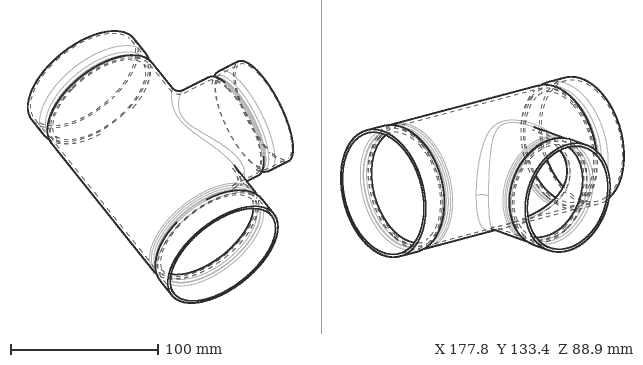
import cadquery as cq
import math

run_length = 177.8
branch_reach = 88.9
run_end_diameter = 88.9
run_body_diameter = 87.78
run_groove_diameter = 82.12
branch_end_diameter = 76.2
branch_body_diameter = 75.08
branch_groove_diameter = 70.36
wall = 2.03
crotch_radius = 6.0

groove_floor_start = 20.4
groove_floor_end = 21.1
shoulder_radius = 4.4
root_radius = 2.1
body_bend_radius = 1.4
body_slope = math.radians(60)

rib_front = 16.9
rib_back = 23.6
rib_front_bend = 1.4
rib_back_bend = 1.0

up = math.pi / 2


def polar(center, radius, angle):
    return (center[0] + radius * math.cos(angle), center[1] + radius * math.sin(angle))


def add_arc(outline, center, radius, start_angle, end_angle):
    """Carry the outline on along an arc; it must already stand at the start of the arc."""
    middle_angle = (start_angle + end_angle) / 2
    return outline.threePointArc(
        polar(center, radius, middle_angle), polar(center, radius, end_angle)
    )


def line_and_arc(outline, center, radius, start_angle, end_angle):
    """Carry the outline straight to the start of an arc, then along the arc."""
    outline = outline.lineTo(*polar(center, radius, start_angle))
    return add_arc(outline, center, radius, start_angle, end_angle)


def finish_rod(outline, body_radius, length):
    """Close the outline along the axis and revolve it about X."""
    outline = outline.lineTo(length, body_radius).lineTo(length, 0).close()
    return outline.revolve(360, (0, 0, 0), (1, 0, 0))


def outside_rod(end_diameter, body_diameter, groove_diameter, length):
    """Solid within the outer skin, along +X from a pipe end at the origin."""
    end_radius = end_diameter / 2
    body_radius = body_diameter / 2
    floor_radius = groove_diameter / 2

    bend_sum = shoulder_radius + root_radius
    turn = math.acos(1 - (end_radius - floor_radius) / bend_sum)
    shoulder_center = (
        groove_floor_start - bend_sum * math.sin(turn),
        end_radius - shoulder_radius,
    )
    root_center = (groove_floor_start, floor_radius + root_radius)

    straight_rise = body_radius - floor_radius - 2 * body_bend_radius * (1 - math.cos(body_slope))
    climb_length = (
        2 * body_bend_radius * math.sin(body_slope) + straight_rise / math.tan(body_slope)
    )
    foot_center = (groove_floor_end, floor_radius + body_bend_radius)
    crest_center = (groove_floor_end + climb_length, body_radius - body_bend_radius)

    outline = cq.Workplane("XY").lineTo(0, end_radius)
    outline = line_and_arc(outline, shoulder_center, shoulder_radius, up, up - turn)
    outline = add_arc(outline, root_center, root_radius, -up - turn, -up)
    outline = line_and_arc(outline, foot_center, body_bend_radius, -up, -up + body_slope)
    outline = line_and_arc(outline, crest_center, body_bend_radius, up + body_slope, up)
    return finish_rod(outline, body_radius, length)


def bore_rod(end_diameter, body_diameter, groove_diameter, length):
    """Solid that fills the bore, along +X from a pipe end at the origin."""
    end_radius = end_diameter / 2 - wall
    body_radius = body_diameter / 2 - wall
    rib_radius = groove_diameter / 2 - wall
    right = 0
    left = math.pi

    front_foot = (rib_front - rib_front_bend, end_radius - rib_front_bend)
    front_crest = (rib_front + rib_front_bend, rib_radius + rib_front_bend)
    back_crest = (rib_back - rib_back_bend, rib_radius + rib_back_bend)
    back_foot = (rib_back + rib_back_bend, body_radius - rib_back_bend)

    outline = cq.Workplane("XY").lineTo(0, end_radius)
    outline = line_and_arc(outline, front_foot, rib_front_bend, up, right)
    outline = line_and_arc(outline, front_crest, rib_front_bend, left, left + up)
    outline = line_and_arc(outline, back_crest, rib_back_bend, -up, right)
    outline = line_and_arc(outline, back_foot, rib_back_bend, left, up)
    return finish_rod(outline, body_radius, length)


def tee(make_rod):
    """Join two mirrored run halves along X with a branch along +Y."""
    half = make_rod(run_end_diameter, run_body_diameter, run_groove_diameter, run_length / 2)
    half = half.translate((-run_length / 2, 0, 0))
    run = half.union(half.mirror("YZ")).clean()
    branch = make_rod(
        branch_end_diameter, branch_body_diameter, branch_groove_diameter, branch_reach
    )
    branch = branch.rotate((0, 0, 0), (0, 0, 1), -90).translate((0, branch_reach, 0))
    return run.union(branch)


def round_crotch(body, run_radius, branch_radius, fillet_radius):
    """Fillet the saddle curve, the only edges that lie wholly inside its bounding box."""
    saddle_low = math.sqrt(run_radius**2 - branch_radius**2)
    margin = 0.5
    reach = branch_radius + margin
    saddle_box = cq.selectors.BoxSelector(
        (-reach, saddle_low - margin, -reach),
        (reach, run_radius + margin, reach),
        boundingbox=True,
    )
    return body.edges(saddle_box).fillet(fillet_radius)


run_radius = run_body_diameter / 2
branch_radius = branch_body_diameter / 2
outside = round_crotch(tee(outside_rod), run_radius, branch_radius, crotch_radius)
bore = round_crotch(
    tee(bore_rod), run_radius - wall, branch_radius - wall, crotch_radius + wall
)
result = outside.cut(bore)